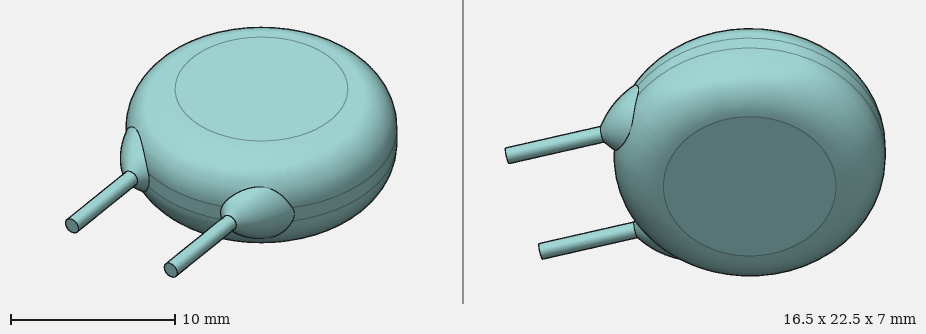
import cadquery as cq

overall_length = 22.5

body_diameter = 16.5
body_thickness = 7.0
body_edge_radius = 3.0

lead_diameter = 1.0
lead_spacing = 7.5
lead_tip_y = body_diameter / 2 - overall_length

cone_tip_y = -body_diameter / 2
cone_mid_radius = 1.5
cone_mid_depth = 0.95
cone_base_radius = 2.7
cone_base_depth = 3.25
cone_base_y = cone_tip_y + cone_base_depth


def make_body():
    """Disc with both rims rounded."""
    disc = cq.Workplane("XY").circle(body_diameter / 2).extrude(body_thickness / 2, both=True)
    return disc.faces("|Z").edges().fillet(body_edge_radius)


def make_cone(lead_x):
    """Bulging cone around a lead axis, with its root buried inside the body."""
    profile = (
        cq.Workplane("XY")
        .moveTo(0, cone_tip_y)
        .lineTo(lead_diameter / 2, cone_tip_y)
        .threePointArc((cone_mid_radius, cone_tip_y + cone_mid_depth), (cone_base_radius, cone_base_y))
        .lineTo(0, cone_base_y)
        .close()
    )
    return profile.revolve(360, (0, 0, 0), (0, 1, 0)).translate((lead_x, 0, 0))


def make_lead(lead_x):
    """Round wire from inside the cone to the free tip."""
    return (
        cq.Workplane("XZ", origin=(lead_x, cone_base_y, 0))
        .circle(lead_diameter / 2)
        .extrude(cone_base_y - lead_tip_y)
    )


lead_positions = (-lead_spacing / 2, lead_spacing / 2)

result = make_body()
for lead_x in lead_positions:
    result = result.union(make_cone(lead_x))
for lead_x in lead_positions:
    result = result.union(make_lead(lead_x))